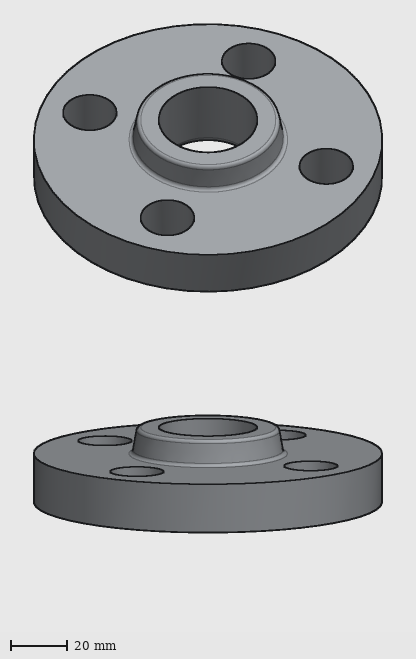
import math

import cadquery as cq

INCH = 25.4

FLANGE_DIAMETER = 4.88 * INCH
FLANGE_THICKNESS = 0.69 * INCH

OVERALL_HEIGHT = 1.06 * INCH
HUB_BASE_DIAMETER = 2.12 * INCH
HUB_TAPER_DEGREES = 10.0
HUB_BASE_FILLET = 1.5
HUB_TOP_FILLET = 1.5

BORE_DIAMETER = 1.38 * INCH
BORE_CORNER_RADIUS = 0.12 * INCH

BOLT_HOLE_COUNT = 4
BOLT_HOLE_DIAMETER = 0.75 * INCH
BOLT_CIRCLE_DIAMETER = 3.5 * INCH

HUB_HEIGHT = OVERALL_HEIGHT - FLANGE_THICKNESS
HUB_TOP_DIAMETER = HUB_BASE_DIAMETER - 2 * HUB_HEIGHT * math.tan(math.radians(HUB_TAPER_DEGREES))


def make_flange_body():
    """Revolve the plate and its tapered hub about Z as one solid."""
    body = (
        cq.Workplane("XZ")
        .moveTo(0, 0)
        .lineTo(FLANGE_DIAMETER / 2, 0)
        .lineTo(FLANGE_DIAMETER / 2, FLANGE_THICKNESS)
        .lineTo(HUB_BASE_DIAMETER / 2, FLANGE_THICKNESS)
        .lineTo(HUB_TOP_DIAMETER / 2, OVERALL_HEIGHT)
        .lineTo(0, OVERALL_HEIGHT)
        .close()
        .revolve(360, (0, 0, 0), (0, 1, 0))
    )
    hub_base_edge = cq.selectors.RadiusNthSelector(-2)
    body = body.edges(hub_base_edge).fillet(HUB_BASE_FILLET)
    return body.faces(">Z").edges().fillet(HUB_TOP_FILLET)


def cut_bore(body):
    """Open the pipe bore right through and round its edge on the underside."""
    bore = cq.Workplane("XY").circle(BORE_DIAMETER / 2).extrude(OVERALL_HEIGHT)
    bored = body.cut(bore)
    bore_bottom_edge = cq.selectors.RadiusNthSelector(0)
    return bored.faces("<Z").edges(bore_bottom_edge).fillet(BORE_CORNER_RADIUS)


def make_bolt_holes():
    """Evenly spaced cylinders through the plate on the bolt circle."""
    return (
        cq.Workplane("XY")
        .polarArray(BOLT_CIRCLE_DIAMETER / 2, 0, 360, BOLT_HOLE_COUNT)
        .circle(BOLT_HOLE_DIAMETER / 2)
        .extrude(FLANGE_THICKNESS)
    )


result = cut_bore(make_flange_body()).cut(make_bolt_holes())